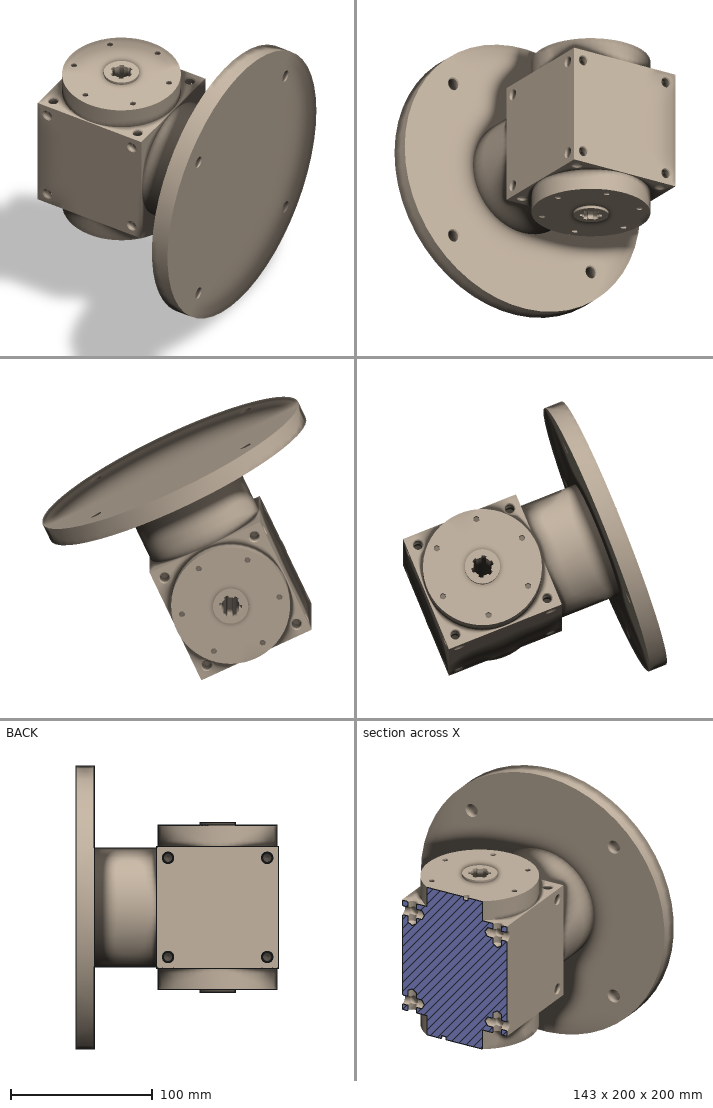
import cadquery as cq
import math


block_side = 86
tapped_spacing = 70
tapped_diameter = 6.5
tapped_mouth_diameter = 8
tapped_depth = 16
drill_point_angle = 118

cap_diameter = 84
cap_top = 58

neck_diameter = 84
flange_diameter = 200
flange_thickness = 13.0
flange_face = 100
flange_hole_diameter = 8.5
flange_mouth_diameter = 10
flange_bolt_circle = 165.0
flange_hole_count = 4

screw_count = 6
screw_circle = 70
screw_start_angle = 15
screw_head_diameter = 8.5
screw_head_height = 5.0
socket_sides = 6
socket_across_flats = 4
socket_depth = 2.5

shaft_diameter = 25.0
shaft_length = 120
spline_count = 6
spline_minor_diameter = 13.0
spline_major_diameter = 16
spline_slot_width = 3.5

full_turn = 360
half_block = block_side / 2
flange_back = flange_face - flange_thickness


def make_cylinder(diameter, height):
    """Upright cylinder centred on the origin."""
    return cq.Workplane("XY").cylinder(height, diameter / 2)


def make_tapped_hole():
    """Blind hole going down from the origin, with a chamfered mouth and a conical bottom."""
    radius = tapped_diameter / 2
    mouth_radius = tapped_mouth_diameter / 2
    mouth_depth = mouth_radius - radius
    point_height = radius / math.tan(math.radians(drill_point_angle / 2))
    profile = [
        (0, 0),
        (mouth_radius, 0),
        (radius, -mouth_depth),
        (radius, -tapped_depth),
        (0, -tapped_depth - point_height),
    ]
    return cq.Workplane("XZ").polyline(profile).close().revolve(full_turn, (0, 0), (0, 1))


def make_top_face_holes():
    """Square pattern of tapped holes going into the top face of the block."""
    hole = make_tapped_hole().val()
    return (
        cq.Workplane("XY", origin=(0, 0, half_block))
        .rect(tapped_spacing, tapped_spacing, forConstruction=True)
        .vertices()
        .eachpoint(lambda place: hole.moved(place))
    )


def make_block():
    """Cube with the tapped pattern on every face except the one that carries the neck."""
    block = cq.Workplane("XY").box(block_side, block_side, block_side)
    holes = make_top_face_holes()
    for turn_about_x in (0, 90, 180, 270):
        block = block.cut(holes.rotate((0, 0, 0), (1, 0, 0), turn_about_x))
    return block.cut(holes.rotate((0, 0, 0), (0, 1, 0), -90))


def make_neck():
    """Round neck between the block and the flange."""
    neck = cq.Workplane("YZ", origin=(half_block, 0, 0)).circle(neck_diameter / 2)
    return neck.extrude(flange_back - half_block)


def make_flange():
    """Round disc with through holes, chamfered on the side that faces the block."""
    back_plane = cq.Workplane("YZ", origin=(flange_back, 0, 0))
    disc = back_plane.circle(flange_diameter / 2).extrude(flange_thickness)
    half_pitch_angle = full_turn / flange_hole_count / 2
    hole_spots = back_plane.polarArray(
        flange_bolt_circle / 2, half_pitch_angle, full_turn, flange_hole_count
    )
    holes = hole_spots.circle(flange_hole_diameter / 2).extrude(flange_thickness)
    mouth_depth = (flange_mouth_diameter - flange_hole_diameter) / 2
    mouth_taper = 45
    mouths = hole_spots.circle(flange_mouth_diameter / 2).extrude(mouth_depth, taper=mouth_taper)
    return disc.cut(holes).cut(mouths)


def make_screw_heads():
    """Rings of plain and of socketed screw heads, level with the face of the top cap."""
    spots = cq.Workplane("XY", origin=(0, 0, cap_top)).polarArray(
        screw_circle / 2, screw_start_angle, full_turn, screw_count
    )
    plain_heads = spots.circle(screw_head_diameter / 2).extrude(-screw_head_height)
    socket_corner_diameter = socket_across_flats / math.cos(math.pi / socket_sides)
    sockets = spots.polygon(socket_sides, socket_corner_diameter).extrude(-socket_depth)
    return plain_heads, plain_heads.cut(sockets)


def make_housing():
    """Block, caps, neck and flange in one piece, bored for the shaft."""
    caps = make_cylinder(cap_diameter, 2 * cap_top)
    core = cq.Workplane("XY").box(block_side, block_side, block_side)
    housing = make_block().union(caps.cut(core)).union(make_neck()).union(make_flange())
    housing = housing.cut(make_cylinder(shaft_diameter, shaft_length))

    recesses, heads = make_screw_heads()
    for turn_about_x in (0, 180):
        housing = housing.cut(recesses.rotate((0, 0, 0), (1, 0, 0), turn_about_x), clean=False)
        housing = housing.union(heads.rotate((0, 0, 0), (1, 0, 0), turn_about_x), clean=False)
    return housing


def make_shaft():
    """Sleeve with a splined bore."""
    bore = make_cylinder(spline_minor_diameter, shaft_length)
    shaft = make_cylinder(shaft_diameter, shaft_length).cut(bore)
    slot = cq.Workplane("XY").box(spline_major_diameter, spline_slot_width, shaft_length)
    slot = slot.intersect(make_cylinder(spline_major_diameter, shaft_length))
    for index in range(spline_count // 2):
        shaft = shaft.cut(slot.rotate((0, 0, 0), (0, 0, 1), index * full_turn / spline_count))
    return shaft


housing = make_housing()
shaft = make_shaft()
result = cq.Compound.makeCompound([housing.solids().val(), shaft.solids().val()])